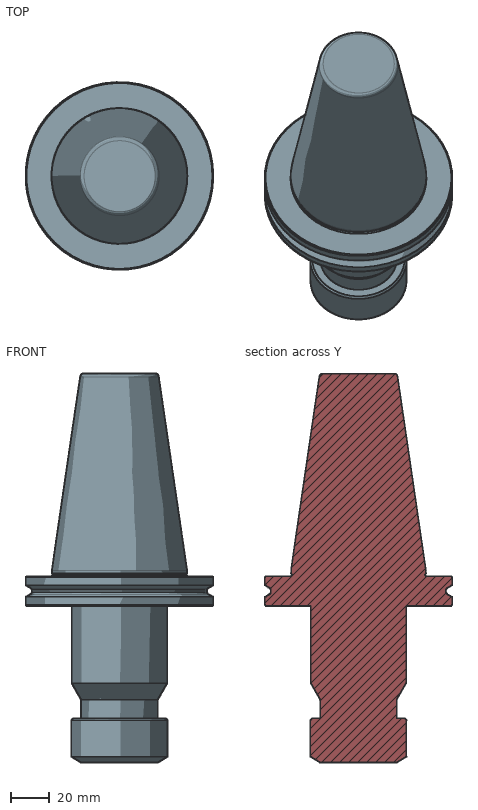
import cadquery as cq

total_height = 201.5

nut_radius = 50.0 / 2
nut_nose_radius = 20.0
nut_nose_height = 3.0
nut_height = 23.0
nut_edge_chamfer = 1.0

neck_radius = 20.0
neck_top = 32.7
body_radius = 24.8
body_bottom = 41.1

flange_radius = 97.4 / 2
flange_bottom = 81.0
flange_top = 96.5
flange_edge_chamfer = 0.6
groove_floor_radius = 91.0 / 2
groove_center = (flange_bottom + flange_top) / 2
groove_floor_width = 2.5
groove_mouth_width = 6.0
groove_floor_fillet = 1.0

shank_base_radius = 35.0
shank_taper_start = 99.5
shank_base_bottom = 98.0
relief_radius = 34.5
relief_height = 97.4
shank_root_radius = 35.3
shank_end_radius = 20.2
shank_end_fillet = 2.0


def revolve_profile(points):
    """Turn a closed (radius, height) outline around the Z axis."""
    return cq.Workplane("XZ").polyline(points).close().revolve(360, (0, 0, 0), (0, 1, 0))


def make_nut():
    return revolve_profile([
        (0, 0),
        (nut_nose_radius, 0),
        (nut_radius, nut_nose_height),
        (nut_radius, nut_height - nut_edge_chamfer),
        (nut_radius - nut_edge_chamfer, nut_height),
        (0, nut_height),
    ])


def make_neck_and_body():
    return revolve_profile([
        (0, nut_height),
        (neck_radius, nut_height),
        (neck_radius, neck_top),
        (body_radius, body_bottom),
        (body_radius, flange_bottom),
        (0, flange_bottom),
    ])


def make_flange():
    disc = (
        cq.Workplane("XY", origin=(0, 0, flange_bottom))
        .circle(flange_radius)
        .extrude(flange_top - flange_bottom)
        .edges()
        .chamfer(flange_edge_chamfer)
    )
    half_floor = groove_floor_width / 2
    half_mouth = groove_mouth_width / 2
    cutter_radius = flange_radius + 2
    groove = revolve_profile([
        (groove_floor_radius, groove_center - half_floor),
        (flange_radius, groove_center - half_mouth),
        (cutter_radius, groove_center - half_mouth),
        (cutter_radius, groove_center + half_mouth),
        (flange_radius, groove_center + half_mouth),
        (groove_floor_radius, groove_center + half_floor),
    ])
    floor_corners = cq.selectors.RadiusNthSelector(0)
    return disc.cut(groove.edges(floor_corners).fillet(groove_floor_fillet))


def make_shank():
    shank = revolve_profile([
        (0, flange_top),
        (shank_root_radius, flange_top),
        (relief_radius, relief_height),
        (shank_base_radius, shank_base_bottom),
        (shank_base_radius, shank_taper_start),
        (shank_end_radius, total_height),
        (0, total_height),
    ])
    return shank.faces(">Z").edges().fillet(shank_end_fillet)


result = make_nut().union(make_neck_and_body()).union(make_flange()).union(make_shank())